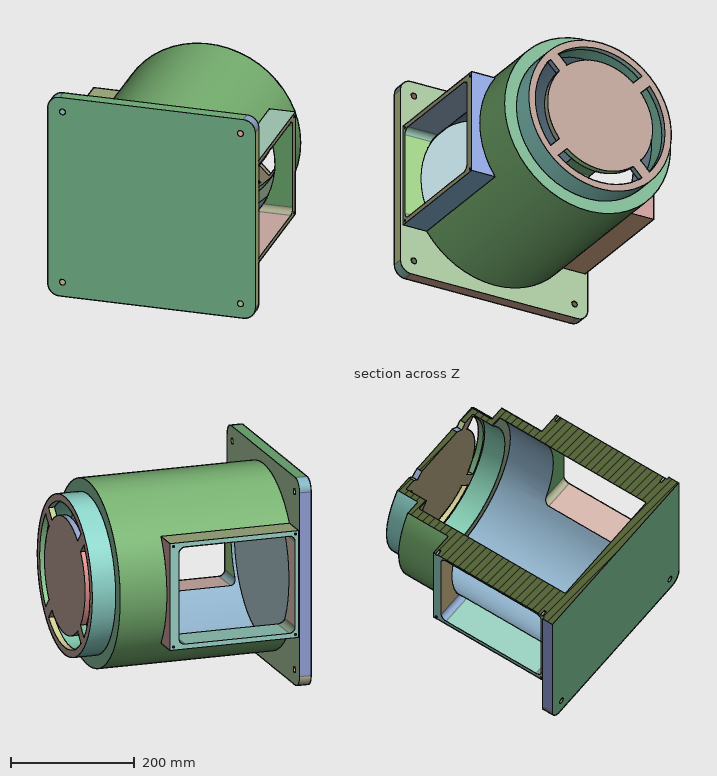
import cadquery as cq

length = 360.0
plate_side = 350.0
plate_thickness = 20.0
plate_corner_radius = 20.0
plate_hole_diameter = 10.0
plate_hole_pitch = 300.0

body_diameter = 310.0
body_bore_diameter = 280.0
spigot_diameter = 266.0
spigot_bore_diameter = 250.0
spigot_length = 40.0
body_end = length - spigot_length
bore_step = 310.0

grille_thickness = 10.0
grille_lip_diameter = 242.0
grille_disc_diameter = 196.0
spoke_width = 20.0
spoke_angles = (45, 135)

frame_span = 340.0
frame_length = 220.0
frame_height = 180.0
window_length = 198.7
window_height = 163.5
window_plate_gap = 5.8
window_corner_radius = 10.0
screw_hole_diameter = 3.2
screw_hole_depth = 10.0
screw_pitch_y = 208.8
screw_pitch_z = 169.2
screw_plate_gap = 5.0


def cylinder_y(diameter, start, end):
    """Cylinder on the Y axis between two Y positions."""
    return cq.Workplane("XZ", origin=(0, start, 0)).circle(diameter / 2).extrude(start - end)


def box_y(size_x, start, size_y, size_z):
    """Box centred on X and Z, starting at a Y position."""
    return cq.Workplane("XY").box(size_x, size_y, size_z).translate((0, start + size_y / 2, 0))


def make_plate():
    plate = box_y(plate_side, 0, plate_thickness, plate_side).edges("|Y").fillet(plate_corner_radius)
    holes = (
        cq.Workplane("XZ")
        .rect(plate_hole_pitch, plate_hole_pitch, forConstruction=True)
        .vertices()
        .circle(plate_hole_diameter / 2)
        .extrude(-plate_thickness)
    )
    return plate.cut(holes)


def make_bore():
    wide = cylinder_y(body_bore_diameter, plate_thickness, bore_step)
    narrow = cylinder_y(spigot_bore_diameter, bore_step, length)
    return wide.union(narrow)


def make_grille():
    """Mouth disc with four arc-shaped air openings between the lip and the centre disc."""
    start = length - grille_thickness
    mouth = cylinder_y(spigot_diameter, start, length)
    openings = cylinder_y(grille_lip_diameter, start, length)
    openings = openings.cut(cylinder_y(grille_disc_diameter, start, length))
    for angle in spoke_angles:
        bar = box_y(spigot_diameter, start, grille_thickness, spoke_width)
        openings = openings.cut(bar.rotate((0, 0, 0), (0, 1, 0), angle))
    return mouth.cut(openings)


def make_window():
    """Window opening that runs through both frames."""
    window = box_y(frame_span, plate_thickness + window_plate_gap, window_length, window_height)
    return window.edges("|X").fillet(window_corner_radius)


def make_screw_holes(side):
    """Four blind holes in the frame face on one side (-1 or +1 along X)."""
    centre_y = plate_thickness + screw_plate_gap + screw_pitch_y / 2
    return (
        cq.Workplane("YZ", origin=(side * frame_span / 2, centre_y, 0))
        .rect(screw_pitch_y, screw_pitch_z, forConstruction=True)
        .vertices()
        .circle(screw_hole_diameter / 2)
        .extrude(-side * screw_hole_depth)
    )


housing = cylinder_y(body_diameter, plate_thickness, body_end)
spigot = cylinder_y(spigot_diameter, body_end, length)
frames = box_y(frame_span, plate_thickness, frame_length, frame_height)

result = make_plate().union(housing).union(spigot).union(frames)
result = result.cut(make_bore()).cut(make_window()).union(make_grille())
for side in (-1, 1):
    result = result.cut(make_screw_holes(side))